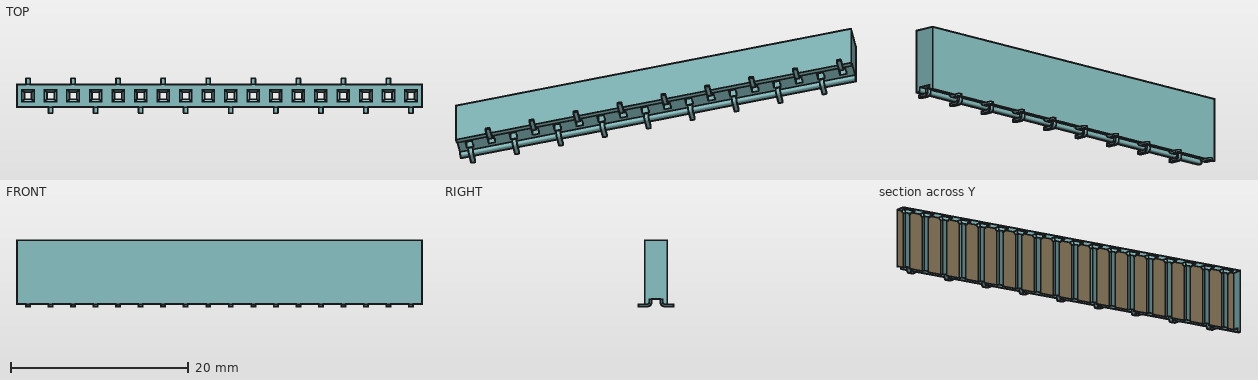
import cadquery as cq

length = 45.7
contact_count = 18
body_width = 2.55
foot_span = 4.0
total_height = 7.5

pitch = length / contact_count
hole_size = 0.8
funnel_size = 1.35
funnel_depth = (funnel_size - hole_size) / 2

lead_width = 0.5
lead_thickness = 0.27
bend_inner_radius = 0.25
bend_outer_radius = bend_inner_radius + lead_thickness
tip_radius = 0.15

body_bottom = lead_thickness
channel_top = 0.82
channel_width = 1.5


def contact_x(index):
    """X position of a contact, counted from the -X end."""
    return (index + 0.5) * pitch - length / 2


def make_body():
    """Rectangular bar with an underside channel whose mouth is rounded to follow the lead bends."""
    body = cq.Workplane("XY").workplane(offset=body_bottom).rect(length, body_width)
    body = body.extrude(total_height - body_bottom)
    wall = channel_width / 2
    mouth = wall + bend_inner_radius
    flare_top = body_bottom + bend_inner_radius
    channel = (
        cq.Workplane("YZ", origin=(-length / 2, 0, 0))
        .moveTo(-mouth, body_bottom)
        .radiusArc((-wall, flare_top), -bend_inner_radius)
        .lineTo(-wall, channel_top)
        .lineTo(wall, channel_top)
        .lineTo(wall, flare_top)
        .radiusArc((mouth, body_bottom), -bend_inner_radius)
        .close()
        .extrude(length)
    )
    return body.cut(channel)


def make_opening(x):
    """Square through hole with a tapered lead-in at the top."""
    hole = cq.Workplane("XY").center(x, 0).rect(hole_size, hole_size).extrude(total_height)
    funnel = (
        cq.Workplane("XY", origin=(x, 0, total_height - funnel_depth))
        .rect(hole_size, hole_size)
        .workplane(offset=funnel_depth)
        .rect(funnel_size, funnel_size)
        .loft(ruled=True)
    )
    return hole.union(funnel)


def make_lead():
    """Gull-wing lead at X = 0 with its foot pointing to +Y."""
    outer_face = channel_width / 2
    inner_face = outer_face - lead_thickness
    tip = foot_span / 2
    lead = (
        cq.Workplane("YZ", origin=(-lead_width / 2, 0, 0))
        .moveTo(inner_face, channel_top)
        .lineTo(inner_face, bend_outer_radius)
        .radiusArc((inner_face + bend_outer_radius, 0), -bend_outer_radius)
        .lineTo(tip, 0)
        .lineTo(tip, lead_thickness)
        .lineTo(outer_face + bend_inner_radius, lead_thickness)
        .radiusArc((outer_face, lead_thickness + bend_inner_radius), bend_inner_radius)
        .lineTo(outer_face, channel_top)
        .close()
        .extrude(lead_width)
    )
    return lead.faces(">Y").edges("|Z").fillet(tip_radius)


result = make_body()
back_lead = make_lead()
front_lead = back_lead.mirror("XZ")

for i in range(contact_count):
    x = contact_x(i)
    lead = back_lead if i % 2 == 0 else front_lead
    result = result.cut(make_opening(x)).union(lead.translate((x, 0, 0)))